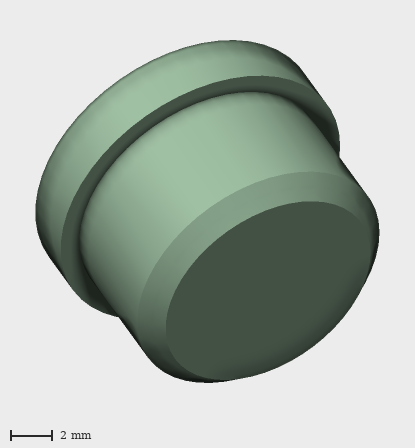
import cadquery as cq

head_diameter = 15.0
head_length = 3.0
rim_radius = 0.5
shank_diameter = 13.0
total_length = 10.0
tip_chamfer = 1.0

shank_length = total_length - head_length


def make_head():
    """Disc starting at X = 0 with its outer face rim rounded."""
    disc = cq.Workplane("YZ").circle(head_diameter / 2).extrude(head_length)
    return disc.faces("<X").edges().fillet(rim_radius)


def make_shank():
    """Cylinder behind the head with a chamfered free end."""
    cylinder = (
        cq.Workplane("YZ", origin=(head_length, 0, 0))
        .circle(shank_diameter / 2)
        .extrude(shank_length)
    )
    return cylinder.faces(">X").edges().chamfer(tip_chamfer)


result = make_head().union(make_shank())